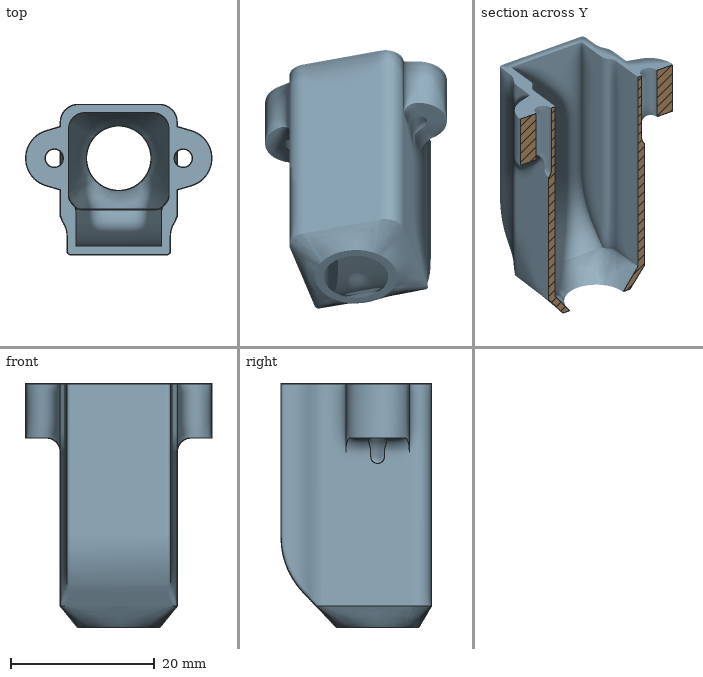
import cadquery as cq
import math

HEIGHT = 34.0
TAPER_TOP = 3.0
FUNNEL_TOP = 3.25

HALF_WIDTH = 8.15
FRONT_HALF_WIDTH = 7.2
BACK_Y = 7.5
FRONT_Y = -13.45
BACK_RADIUS = 2.5
EDGE_RADIUS = 0.5
JOG_START_Y = -7.58
JOG_MIDDLE_Y = -8.98
JOG_END_Y = -10.88

WALL = 1.15
FRONT_WALL = 1.25
FRONT_SIDE_WALL = 1.22
CAVITY_HALF_WIDTH = HALF_WIDTH - WALL
CAVITY_FRONT_HALF_WIDTH = FRONT_HALF_WIDTH - FRONT_SIDE_WALL
CAVITY_BACK_Y = BACK_Y - WALL
CAVITY_FRONT_Y = FRONT_Y + FRONT_WALL
CAVITY_RADIUS = 2.3
CAVITY_JOG_START_Y = -5.2
CAVITY_JOG_MIDDLE_Y = -6.3
CAVITY_JOG_END_Y = -7.38
FUNNEL_FRONT_Y = -7.25

OUTLET_RADIUS = 4.5
OUTLET_OUTER_RADIUS = 5.7
RAMP_CORNER_Z = 8.15
RAMP_RADIUS = 11.0
CORNER_HALF_ANGLE = 4.0

EAR_X = 8.98
EAR_RADIUS = 4.0
EAR_NECK_HALF_WIDTH = 4.42
EAR_HEIGHT = 7.58
EAR_FILLET = 1.95
SCREW_DIAMETER = 2.5
SCREW_STRAIGHT_DEPTH = 10.15


def jogged_outline(half_width, front_half_width, back_y, front_y, back_radius, jog_ys, base_z):
    """Rounded back, with S-shaped steps to a narrower square front."""
    start_y, middle_y, end_y = jog_ys
    step_share = (start_y - middle_y) / (start_y - end_y)
    middle_x = half_width - (half_width - front_half_width) * step_share
    half = (
        cq.Workplane("XY", origin=(0, 0, base_z))
        .moveTo(0, back_y)
        .lineTo(half_width - back_radius, back_y)
        .tangentArcPoint((half_width, back_y - back_radius), relative=False)
        .lineTo(half_width, start_y)
        .tangentArcPoint((middle_x, middle_y), relative=False)
        .tangentArcPoint((front_half_width, end_y), relative=False)
        .lineTo(front_half_width, front_y)
        .lineTo(0, front_y)
    )
    return half.mirrorY()


def ramp_envelope(inset):
    """Side profile with a rounded slope below the front wall; the inset is the wall thickness."""
    slope = math.atan2(-FRONT_Y - OUTLET_OUTER_RADIUS, RAMP_CORNER_Z)
    lift = inset / math.sin(slope)
    front_y = FRONT_Y + inset
    foot_y = -OUTLET_OUTER_RADIUS
    corner_z = (foot_y - front_y) / math.tan(slope) + lift
    tangent = RAMP_RADIUS * math.tan(slope / 2)
    arc_end_y = front_y + tangent * math.sin(slope)
    arc_end_z = corner_z - tangent * math.cos(slope)
    return (
        cq.Workplane("YZ")
        .moveTo(BACK_Y, 0)
        .lineTo(BACK_Y, HEIGHT)
        .lineTo(front_y, HEIGHT)
        .lineTo(front_y, corner_z + tangent)
        .tangentArcPoint((arc_end_y, arc_end_z), relative=False)
        .lineTo(foot_y + lift * math.tan(slope), 0)
        .close()
        .extrude(HALF_WIDTH, both=True)
    )


def corner_funnel(half_width, back_y, front_y, back_radius, front_radius, top_z, circle_radius):
    """Loft from a circle at the bottom to a rounded rectangle, pairing the corners."""
    corners = (
        (1, 1, back_y, back_radius),
        (-1, 1, back_y, back_radius),
        (-1, -1, front_y, front_radius),
        (1, -1, front_y, front_radius),
    )
    rectangle = []
    for x_sign, y_sign, edge_y, radius in corners:
        center = cq.Vector(x_sign * (half_width - radius), edge_y - y_sign * radius, top_z)
        side = center + cq.Vector(x_sign * radius, 0, 0)
        end = center + cq.Vector(0, y_sign * radius, 0)
        diagonal = radius / math.sqrt(2)
        middle = center + cq.Vector(x_sign * diagonal, y_sign * diagonal, 0)
        rectangle.append((side, middle, end) if x_sign == y_sign else (end, middle, side))

    def on_circle(degrees):
        angle = math.radians(degrees)
        return cq.Vector(circle_radius * math.cos(angle), circle_radius * math.sin(angle), 0)

    top_edges = []
    bottom_edges = []
    for index, (start, middle, end) in enumerate(rectangle):
        next_start = rectangle[(index + 1) % len(rectangle)][0]
        top_edges.append(cq.Edge.makeThreePointArc(start, middle, end))
        top_edges.append(cq.Edge.makeLine(end, next_start))
        angle = 45 + 90 * index
        first = on_circle(angle - CORNER_HALF_ANGLE)
        last = on_circle(angle + CORNER_HALF_ANGLE)
        following = on_circle(angle + 90 - CORNER_HALF_ANGLE)
        bottom_edges.append(cq.Edge.makeThreePointArc(first, on_circle(angle), last))
        bottom_edges.append(cq.Edge.makeThreePointArc(last, on_circle(angle + 45), following))
    wires = [cq.Wire.assembleEdges(bottom_edges), cq.Wire.assembleEdges(top_edges)]
    return cq.Workplane(cq.Solid.makeLoft(wires, True))


def outer_body():
    jog = (JOG_START_Y, JOG_MIDDLE_Y, JOG_END_Y)
    outline = jogged_outline(
        HALF_WIDTH, FRONT_HALF_WIDTH, BACK_Y, FRONT_Y, BACK_RADIUS, jog, TAPER_TOP
    )
    straight = outline.extrude(HEIGHT - TAPER_TOP).intersect(ramp_envelope(0))
    front_edges = straight.faces("<Y").edges("|Z")
    straight = front_edges.fillet(EDGE_RADIUS)
    slope_run = -FRONT_Y - OUTLET_OUTER_RADIUS
    slope_y = -OUTLET_OUTER_RADIUS - slope_run * TAPER_TOP / RAMP_CORNER_Z
    funnel = corner_funnel(
        HALF_WIDTH, BACK_Y, slope_y, BACK_RADIUS, EDGE_RADIUS, TAPER_TOP, OUTLET_OUTER_RADIUS
    )
    return straight.union(funnel)


def cavity():
    jog = (CAVITY_JOG_START_Y, CAVITY_JOG_MIDDLE_Y, CAVITY_JOG_END_Y)
    outline = jogged_outline(
        CAVITY_HALF_WIDTH, CAVITY_FRONT_HALF_WIDTH, CAVITY_BACK_Y, CAVITY_FRONT_Y,
        CAVITY_RADIUS, jog, FUNNEL_TOP,
    )
    straight = outline.extrude(HEIGHT - FUNNEL_TOP).intersect(ramp_envelope(FRONT_WALL))
    funnel = corner_funnel(
        CAVITY_HALF_WIDTH, CAVITY_BACK_Y, FUNNEL_FRONT_Y, CAVITY_RADIUS, CAVITY_RADIUS,
        FUNNEL_TOP, OUTLET_RADIUS,
    )
    return straight.union(funnel)


def ear():
    """Right-hand ear with straight flanks tangent to its round end and a filleted underside."""
    neck_dx = HALF_WIDTH - EAR_X
    neck_angle = math.atan2(EAR_NECK_HALF_WIDTH, neck_dx)
    tangent_angle = neck_angle - math.acos(EAR_RADIUS / math.hypot(neck_dx, EAR_NECK_HALF_WIDTH))
    tangent_x = EAR_X + EAR_RADIUS * math.cos(tangent_angle)
    tangent_y = EAR_RADIUS * math.sin(tangent_angle)
    ear_bottom = HEIGHT - EAR_HEIGHT
    root_z = ear_bottom - EAR_FILLET
    root_x = HALF_WIDTH - WALL / 2
    plan = (
        cq.Workplane("XY", origin=(0, 0, root_z))
        .moveTo(root_x, -EAR_NECK_HALF_WIDTH)
        .lineTo(HALF_WIDTH, -EAR_NECK_HALF_WIDTH)
        .lineTo(tangent_x, -tangent_y)
        .threePointArc((EAR_X + EAR_RADIUS, 0), (tangent_x, tangent_y))
        .lineTo(HALF_WIDTH, EAR_NECK_HALF_WIDTH)
        .lineTo(root_x, EAR_NECK_HALF_WIDTH)
        .close()
        .extrude(EAR_HEIGHT + EAR_FILLET)
    )
    bend = EAR_FILLET * (1 - math.sqrt(0.5))
    side_profile = (
        cq.Workplane("XZ")
        .moveTo(root_x, HEIGHT)
        .lineTo(root_x, root_z)
        .lineTo(HALF_WIDTH, root_z)
        .threePointArc((HALF_WIDTH + bend, ear_bottom - bend), (HALF_WIDTH + EAR_FILLET, ear_bottom))
        .lineTo(EAR_X + EAR_RADIUS, ear_bottom)
        .lineTo(EAR_X + EAR_RADIUS, HEIGHT)
        .close()
        .extrude(EAR_NECK_HALF_WIDTH, both=True)
    )
    return plan.intersect(side_profile)


def screw_hole():
    """Round-ended hole that also grooves the body wall below the ear."""
    radius = SCREW_DIAMETER / 2
    hole_end = HEIGHT - SCREW_STRAIGHT_DEPTH
    shaft = cq.Workplane("XY", origin=(EAR_X, 0, hole_end)).circle(radius).extrude(SCREW_STRAIGHT_DEPTH)
    tip = cq.Workplane("XY", origin=(EAR_X, 0, hole_end)).sphere(radius)
    return shaft.union(tip)


right_ear = ear()
right_hole = screw_hole()
result = outer_body().union(right_ear).union(right_ear.mirror("YZ")).cut(cavity())
result = result.cut(right_hole).cut(right_hole.mirror("YZ"))